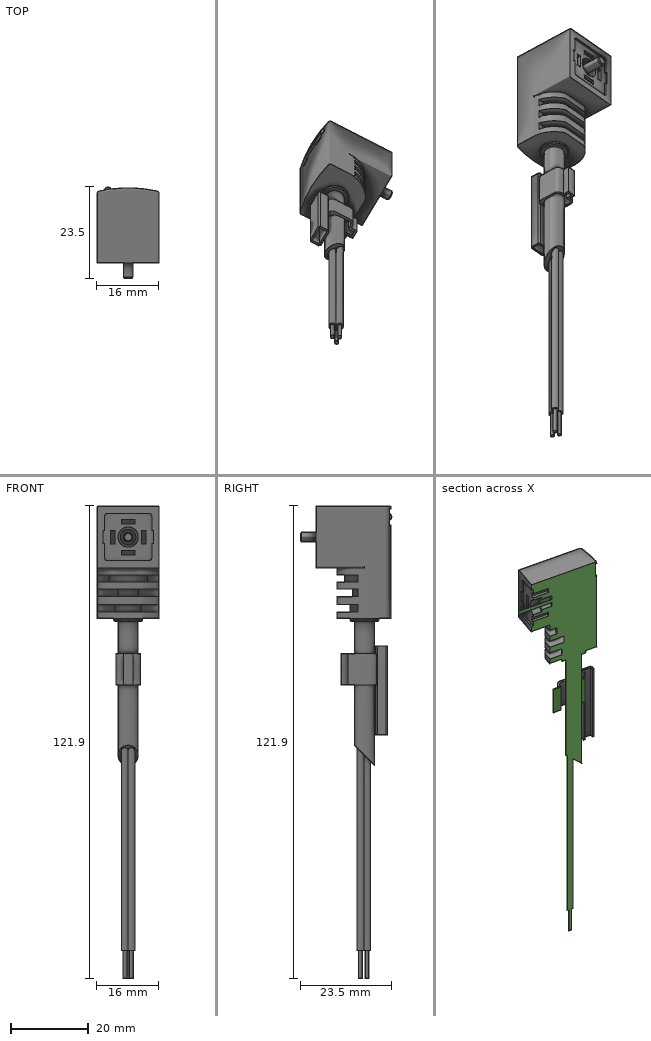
import cadquery as cq
import math


plug_width = 16.0
half_width = plug_width / 2
plug_bottom = -21.0
back_peak = 19.35
back_bow = 0.95
back_edge_radius = 0.7
side_edge_radius = 0.4

cable_y = 12.5
grip_flat_y = 5.4
grip_edge_radius = 1.5
rib_back_y = 10.85
groove_height = 1.9
groove_tops = (-9.75, -13.45, -17.45)
groove_core_diameters = (10.4, 6.2, 7.5)

face_half = 6.1
face_depth = 0.5
face_corner_radius = 0.8
key_half_width = 6.5
key_height = 3.4
slot_length = 3.5
slot_width = 1.15
slot_offset = 4.0
slot_depth = 5.0
bore_diameter = 5.2
bore_depth = 3.0
inner_bore_diameter = 4.0
inner_bore_depth = 6.0
screw_diameter = 2.5
screw_reach = 4.0
screw_chamfer = 0.3

window_half_width = 6.2
window_top = 7.3
window_bottom = 3.1
window_depth = 0.35
lamp_x = -5.2
lamp_z = 5.2
lamp_diameter = 1.8
lamp_tip_y = 19.55

collar_diameter = 7.5
collar_height = 0.75
collar_chamfer = 0.3
cable_diameter = 5.2
cable_cut_z = -56.3
wire_start = -50.0
wire_diameter = 1.85
wire_pitch = 1.7
wire_center_y = 12.3
wire_end = -106.7
conductor_diameter = 1.0
conductor_end = -113.85

clip_top = -30.1
clip_height = 8.0
clip_half_width = 3.2
clip_front_y = 8.2
clip_back_y = 15.8
clip_front_radius = 1.5
clip_back_radius = 1.8
nose_front_y = 6.5
nose_half_width = 1.2
clip_wall = 0.6
plate_half_width = 2.5
plate_front_y = 15.4
plate_chamfer = 0.4
plate_wall = 0.5
plate_back_y = 18.5
plate_top = -28.1
plate_length = 22.9


def vertical_rod(x, y, diameter, top, bottom):
    """Round rod along Z."""
    return cq.Workplane("XY", origin=(x, y, bottom)).circle(diameter / 2).extrude(top - bottom)


def front_block(width, height, depth, x=0.0, z=0.0):
    """Block that reaches back from the contact face."""
    return cq.Workplane("XY").box(width, depth, height).translate((x, depth / 2, z))


def front_rod(diameter, start_y, end_y):
    """Round rod along the screw axis."""
    plane = cq.Workplane("XZ", origin=(0, start_y, 0))
    return plane.circle(diameter / 2).extrude(start_y - end_y)


def housing_profile():
    """Plan of the housing: square front corners and a bowed back."""
    return (
        cq.Workplane("XY", origin=(0, 0, plug_bottom))
        .moveTo(-half_width, 0)
        .lineTo(half_width, 0)
        .lineTo(half_width, back_peak - back_bow)
        .threePointArc((0, back_peak), (-half_width, back_peak - back_bow))
        .close()
    )


def make_shell():
    """Plug block with the back carried down around the cable."""
    shell = housing_profile().extrude(half_width - plug_bottom)
    shell = shell.edges("|Z").edges(">Y").fillet(back_edge_radius)
    under_plug = cq.Workplane("XY").box(
        plug_width, cable_y, -half_width - plug_bottom, centered=(True, False, False)
    )
    shell = shell.cut(under_plug.translate((0, 0, plug_bottom)))
    shell = shell.edges("|Y").edges(">Z").fillet(side_edge_radius)
    around_plug_bottom = cq.selectors.BoxSelector(
        (-plug_width, 0, -half_width - side_edge_radius),
        (plug_width, cable_y, -half_width + side_edge_radius),
    )
    return shell.edges("|Y").edges(around_plug_bottom).fillet(side_edge_radius)


def make_grip():
    """Half-round ribbed grip with a flattened front."""
    flat_half = math.sqrt(half_width**2 - (cable_y - grip_flat_y) ** 2)
    grip = (
        cq.Workplane("XY", origin=(0, 0, plug_bottom))
        .moveTo(half_width, cable_y)
        .lineTo(-half_width, cable_y)
        .radiusArc((-flat_half, grip_flat_y), -half_width)
        .lineTo(flat_half, grip_flat_y)
        .radiusArc((half_width, cable_y), -half_width)
        .close()
        .extrude(-half_width - plug_bottom)
        .edges("|Z").edges("<Y")
        .fillet(grip_edge_radius)
    )
    for top, core_diameter in zip(groove_tops, groove_core_diameters):
        bottom = top - groove_height
        groove = cq.Workplane("XY").box(
            plug_width, rib_back_y, groove_height, centered=(True, False, False)
        )
        core = vertical_rod(0, cable_y, core_diameter, top, bottom)
        grip = grip.cut(groove.translate((0, 0, bottom)).cut(core))
    return grip


def cut_contact_face(body):
    """Sunken face with keys at both sides, four contact slots and the screw bore."""
    face = front_block(2 * face_half, 2 * face_half, face_depth).edges("|Y").fillet(face_corner_radius)
    body = body.cut(face).cut(front_block(2 * key_half_width, key_height, face_depth))
    for side in (-1, 1):
        offset = side * slot_offset
        body = body.cut(front_block(slot_width, slot_length, slot_depth, x=offset))
        body = body.cut(front_block(slot_length, slot_width, slot_depth, z=offset))
    body = body.cut(front_rod(bore_diameter, 0, bore_depth))
    return body.cut(front_rod(inner_bore_diameter, 0, inner_bore_depth))


def make_screw():
    """Screw end that stands out of the bore."""
    return front_rod(screw_diameter, -screw_reach, inner_bore_depth).faces("<Y").chamfer(screw_chamfer)


def cut_window(body):
    """Shallow flat window across the bowed back."""
    floor_y = back_peak - window_depth
    window = cq.Workplane("XY").box(
        2 * window_half_width, window_depth, window_top - window_bottom, centered=(True, False, False)
    )
    return body.cut(window.translate((0, floor_y, window_bottom)))


def make_lamp():
    """Round-nosed indicator lamp."""
    radius = lamp_diameter / 2
    center_y = lamp_tip_y - radius
    return cq.Workplane("XY").sphere(radius).translate((lamp_x, center_y, lamp_z))


def make_cable():
    """Collar, jacket cut off at a slant, and three stripped wires."""
    collar_end = plug_bottom - collar_height
    collar = vertical_rod(0, cable_y, collar_diameter, plug_bottom, collar_end)
    cable = collar.faces("<Z").chamfer(collar_chamfer)

    radius = cable_diameter / 2
    jacket = (
        cq.Workplane("YZ", origin=(-radius, 0, 0))
        .moveTo(cable_y - radius, plug_bottom)
        .lineTo(cable_y + radius, plug_bottom)
        .lineTo(cable_y + radius, cable_cut_z - radius)
        .lineTo(cable_y - radius, cable_cut_z + radius)
        .close()
        .extrude(cable_diameter)
        .intersect(vertical_rod(0, cable_y, cable_diameter, plug_bottom, cable_cut_z - radius))
    )
    cable = cable.union(jacket)
    half_pitch = wire_pitch / 2
    wire_places = (
        (-half_pitch, wire_center_y - half_pitch),
        (half_pitch, wire_center_y - half_pitch),
        (0, wire_center_y + half_pitch),
    )
    for x, y in wire_places:
        wire = vertical_rod(x, y, wire_diameter, wire_start, wire_end)
        conductor = vertical_rod(x, y, conductor_diameter, wire_end, conductor_end)
        cable = cable.union(wire.union(conductor))
    return cable


def make_plug():
    """Plug, grip, screw and cable moulded as one body."""
    plug = make_shell().union(make_grip())
    plug = cut_contact_face(plug).union(make_screw())
    plug = cut_window(plug).union(make_lamp())
    return plug.union(make_cable())


def clip_block(half_width_x, front_y, back_y):
    """Block over the height of the clip band."""
    block = cq.Workplane("XY").box(
        2 * half_width_x, back_y - front_y, clip_height, centered=(True, False, False)
    )
    return block.translate((0, front_y, clip_top - clip_height))


def make_band():
    """Thin-walled band around the cable, folded out to a nose in front."""
    band = clip_block(clip_half_width, clip_front_y, clip_back_y)
    band = band.edges("|Z").edges("<Y").fillet(clip_front_radius)
    band = band.edges("|Z").edges(">Y").fillet(clip_back_radius)
    nose = clip_block(nose_half_width, nose_front_y, clip_front_y + clip_wall)
    band_space = clip_block(clip_half_width - clip_wall, clip_front_y + clip_wall, cable_y)
    band_space = band_space.edges("|Z").edges("<Y").fillet(clip_front_radius - clip_wall)
    nose_space = clip_block(nose_half_width - clip_wall, nose_front_y + clip_wall, cable_y)
    return band.union(nose).cut(band_space).cut(nose_space)


def make_marker_sleeve():
    """Flat tube for a marker strip, open at both ends."""
    depth = plate_back_y - plate_front_y
    sleeve = cq.Workplane("XY").box(2 * plate_half_width, depth, plate_length)
    sleeve = sleeve.edges("|Z").chamfer(plate_chamfer)
    pocket = cq.Workplane("XY").box(
        2 * (plate_half_width - plate_wall), depth - 2 * plate_wall, plate_length
    )
    sleeve = sleeve.cut(pocket)
    return sleeve.translate((0, plate_front_y + depth / 2, plate_top - plate_length / 2))


def make_clip():
    """Marker clip: band, nose and marker sleeve in one piece, bored for the cable."""
    hole = vertical_rod(0, cable_y, cable_diameter, clip_top, clip_top - clip_height)
    band = make_band().cut(hole)
    return band.union(make_marker_sleeve())


plug = make_plug()
clip = make_clip()
result = cq.Compound.makeCompound([plug.val(), clip.val()])